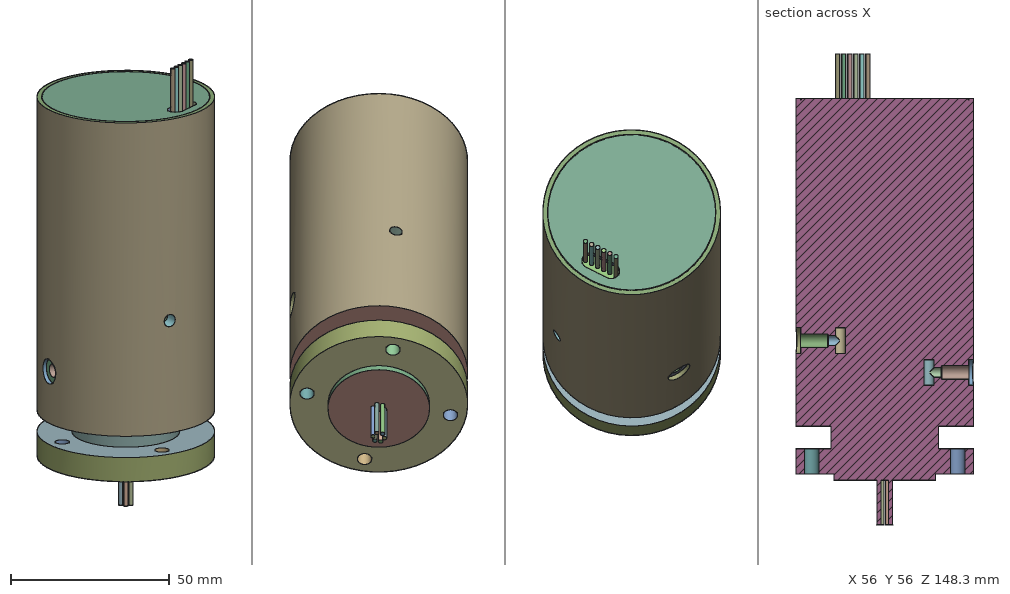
import cadquery as cq
import math

BODY_DIAMETER = 56.0
BODY_LENGTH = 103.3
NECK_DIAMETER = 34.0
NECK_LENGTH = 7.0
FLANGE_THICKNESS = 8.0
PILOT_DIAMETER = 32.0
PILOT_LENGTH = 2.0

BODY_RADIUS = BODY_DIAMETER / 2
BODY_BOTTOM = FLANGE_THICKNESS + NECK_LENGTH
BODY_TOP = BODY_BOTTOM + BODY_LENGTH

JOINT_OUTER_DIAMETER = 53.0
JOINT_WIDTH = 0.1
JOINT_DEPTH = 0.5

FLANGE_HOLE_DIAMETER = 4.5
FLANGE_HOLE_CIRCLE_RADIUS = 23.0
FLANGE_HOLE_COUNT = 4

DRILL_POINT_ANGLE = 118.0

SIDE_HOLE_DIAMETER = 4.0
SIDE_HOLE_DEPTH = 5.0
SIDE_HOLE_HEIGHT = BODY_BOTTOM + 37.0

PORT_FRONT_HEIGHT = BODY_BOTTOM + 17.0
PORT_BACK_HEIGHT = BODY_BOTTOM + 27.0
PORT_SPOTFACE_DIAMETER = 8.0
PORT_SPOTFACE_DEPTH = 1.5
PORT_BORE_DIAMETER = 4.2
PORT_BORE_DEPTH = 10.0
PASSAGE_DIAMETER = 3.0
PASSAGE_RADIAL_LENGTH = 4.0
PASSAGE_VERTICAL_LENGTH = 8.0

WIRE_DIAMETER = 1.4
WIRE_COUNT = 6
WIRE_LENGTH = 14.0
WIRE_EMBED = 1.0

SLOT_ANGLE = 29.2
SLOT_CENTER_RADIUS = 20.6
SLOT_LENGTH = 12.7
SLOT_WIDTH = 5.3
SLOT_DEPTH = 2.0
TOP_WIRE_PITCH = 2.18

BOTTOM_WIRE_CIRCLE_RADIUS = 1.85
BOTTOM_WIRE_START_ANGLE = 90.0


def cylinder(diameter, bottom, top):
    return cq.Workplane("XY").workplane(offset=bottom).circle(diameter / 2).extrude(top - bottom)


def make_housing():
    return (
        cylinder(BODY_DIAMETER, BODY_BOTTOM, BODY_TOP)
        .union(cylinder(NECK_DIAMETER, 0, BODY_BOTTOM))
        .union(cylinder(BODY_DIAMETER, 0, FLANGE_THICKNESS))
        .union(cylinder(PILOT_DIAMETER, -PILOT_LENGTH, 0))
    )


def make_joint_groove():
    bottom = BODY_TOP - JOINT_DEPTH
    inner_diameter = JOINT_OUTER_DIAMETER - 2 * JOINT_WIDTH
    return cylinder(JOINT_OUTER_DIAMETER, bottom, BODY_TOP).cut(cylinder(inner_diameter, bottom, BODY_TOP))


def make_flange_holes():
    return (
        cq.Workplane("XY")
        .polarArray(FLANGE_HOLE_CIRCLE_RADIUS, 0, 360, FLANGE_HOLE_COUNT)
        .circle(FLANGE_HOLE_DIAMETER / 2)
        .extrude(FLANGE_THICKNESS)
    )


def radial_plane(angle, height):
    """Plane touching the body surface at the given angle, with its normal toward the axis."""
    x = math.cos(math.radians(angle))
    y = math.sin(math.radians(angle))
    return cq.Plane(origin=(BODY_RADIUS * x, BODY_RADIUS * y, height), xDir=(0, 0, 1), normal=(-x, -y, 0))


def drill_point_depth(diameter):
    return diameter / 2 / math.tan(math.radians(DRILL_POINT_ANGLE / 2))


def make_drilled_hole(plane, diameter, depth):
    """Blind hole along the plane normal; the depth excludes its conical drill point."""
    radius = diameter / 2
    tip_depth = depth + drill_point_depth(diameter)
    return (
        cq.Workplane(plane.rotated((90, 0, 0)))
        .polyline([(0, 0), (radius, 0), (radius, depth), (0, tip_depth)])
        .close()
        .revolve(360, (0, 0), (0, 1))
    )


def make_side_hole(angle):
    return make_drilled_hole(radial_plane(angle, SIDE_HOLE_HEIGHT), SIDE_HOLE_DIAMETER, SIDE_HOLE_DEPTH)


def make_port(angle, height):
    """Spotfaced radial bore with a narrower passage leading to a short vertical passage."""
    plane = radial_plane(angle, height)
    spotface = cq.Workplane(plane).circle(PORT_SPOTFACE_DIAMETER / 2).extrude(PORT_SPOTFACE_DEPTH)
    bore = make_drilled_hole(plane, PORT_BORE_DIAMETER, PORT_BORE_DEPTH)

    passage_depth = PORT_BORE_DEPTH + PASSAGE_RADIAL_LENGTH
    radial_passage = cq.Workplane(plane).circle(PASSAGE_DIAMETER / 2).extrude(passage_depth)
    passage_center = plane.toWorldCoords((0, 0, passage_depth))
    passage_bottom = height - PASSAGE_VERTICAL_LENGTH / 2
    vertical_passage = cylinder(PASSAGE_DIAMETER, passage_bottom, passage_bottom + PASSAGE_VERTICAL_LENGTH)
    vertical_passage = vertical_passage.translate((passage_center.x, passage_center.y, 0))
    return spotface.union(bore).union(radial_passage).union(vertical_passage)


def slot_plane(height):
    """Plane at the slot center with its local Y axis along the slot."""
    angle = math.radians(SLOT_ANGLE)
    center = (SLOT_CENTER_RADIUS * math.cos(angle), SLOT_CENTER_RADIUS * math.sin(angle), height)
    return cq.Plane(origin=center, xDir=(math.cos(angle), math.sin(angle), 0), normal=(0, 0, 1))


def make_wire_slot():
    return (
        cq.Workplane(slot_plane(BODY_TOP - SLOT_DEPTH))
        .slot2D(SLOT_LENGTH, SLOT_WIDTH, 90)
        .extrude(SLOT_DEPTH)
    )


def make_top_wires():
    return (
        cq.Workplane(slot_plane(BODY_TOP - SLOT_DEPTH - WIRE_EMBED))
        .rarray(1, TOP_WIRE_PITCH, 1, WIRE_COUNT)
        .circle(WIRE_DIAMETER / 2)
        .extrude(WIRE_EMBED + SLOT_DEPTH + WIRE_LENGTH)
    )


def make_bottom_wires():
    return (
        cq.Workplane("XY")
        .workplane(offset=-PILOT_LENGTH - WIRE_LENGTH)
        .polarArray(BOTTOM_WIRE_CIRCLE_RADIUS, BOTTOM_WIRE_START_ANGLE, 360, WIRE_COUNT)
        .circle(WIRE_DIAMETER / 2)
        .extrude(WIRE_LENGTH + WIRE_EMBED)
    )


housing = make_housing().cut(make_joint_groove()).cut(make_flange_holes())
for side_angle in (0, 180):
    housing = housing.cut(make_side_hole(side_angle))
for port_angle, port_height in ((-90, PORT_FRONT_HEIGHT), (90, PORT_BACK_HEIGHT)):
    housing = housing.cut(make_port(port_angle, port_height))
housing = housing.cut(make_wire_slot())

result = housing.union(make_top_wires()).union(make_bottom_wires())